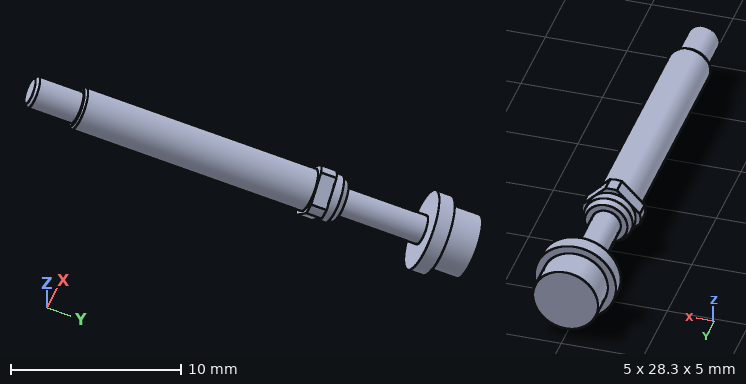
import cadquery as cq


TAIL_LENGTH = 3.0
BARREL_LENGTH = 15.0
NUT_LENGTH = 1.0
COLLAR_LENGTH = 1.0
PLUNGER_LENGTH = 5.3
FLANGE_LENGTH = 1.0
HEAD_LENGTH = 2.0

TAIL_DIAMETER = 2.0
BARREL_DIAMETER = 2.65
COLLAR_DIAMETER = 3.0
PLUNGER_DIAMETER = 1.8
FLANGE_DIAMETER = 5.0
HEAD_DIAMETER = 4.0

NUT_ACROSS_FLATS = 3.0
NUT_CORNER_DIAMETER = 3.6
NUT_TILT = 45.0

TAIL_CHAMFER = 0.2
BARREL_CHAMFER = 0.15
TAPER_LENGTH = 0.4
TAPER_DEPTH = 0.2

NUT_START = 0.0
BARREL_START = NUT_START - BARREL_LENGTH
TAIL_START = BARREL_START - TAIL_LENGTH
COLLAR_START = NUT_START + NUT_LENGTH
PLUNGER_START = COLLAR_START + COLLAR_LENGTH
FLANGE_START = PLUNGER_START + PLUNGER_LENGTH
HEAD_START = FLANGE_START + FLANGE_LENGTH


def section_plane(start):
    """Plane at Y = start whose normal points along +Y."""
    return cq.Workplane(cq.Plane(origin=(0, start, 0), xDir=(1, 0, 0), normal=(0, 1, 0)))


def cylinder(start, length, diameter):
    return section_plane(start).circle(diameter / 2).extrude(length)


def make_tail():
    return cylinder(TAIL_START, TAIL_LENGTH, TAIL_DIAMETER).faces("<Y").chamfer(TAIL_CHAMFER)


def make_barrel():
    return cylinder(BARREL_START, BARREL_LENGTH, BARREL_DIAMETER).faces("<Y").chamfer(BARREL_CHAMFER)


def make_nut():
    """Square prism whose corners are turned down to a round."""
    square = section_plane(NUT_START).rect(NUT_ACROSS_FLATS, NUT_ACROSS_FLATS).extrude(NUT_LENGTH)
    tilted = square.rotate((0, 0, 0), (0, 1, 0), NUT_TILT)
    return tilted.intersect(cylinder(NUT_START, NUT_LENGTH, NUT_CORNER_DIAMETER))


def make_collar():
    """Collar with a shallow taper at its +Y end."""
    collar = cylinder(COLLAR_START, COLLAR_LENGTH, COLLAR_DIAMETER)
    end_edges = collar.faces(">Y").edges().vals()
    return cq.Workplane(collar.val().chamfer(TAPER_LENGTH, TAPER_DEPTH, end_edges))


def make_plunger():
    stem = cylinder(PLUNGER_START, PLUNGER_LENGTH, PLUNGER_DIAMETER)
    flange = cylinder(FLANGE_START, FLANGE_LENGTH, FLANGE_DIAMETER)
    head = cylinder(HEAD_START, HEAD_LENGTH, HEAD_DIAMETER)
    return stem.union(flange).union(head)


result = make_tail()
for section in (make_barrel(), make_nut(), make_collar(), make_plunger()):
    result = result.union(section)